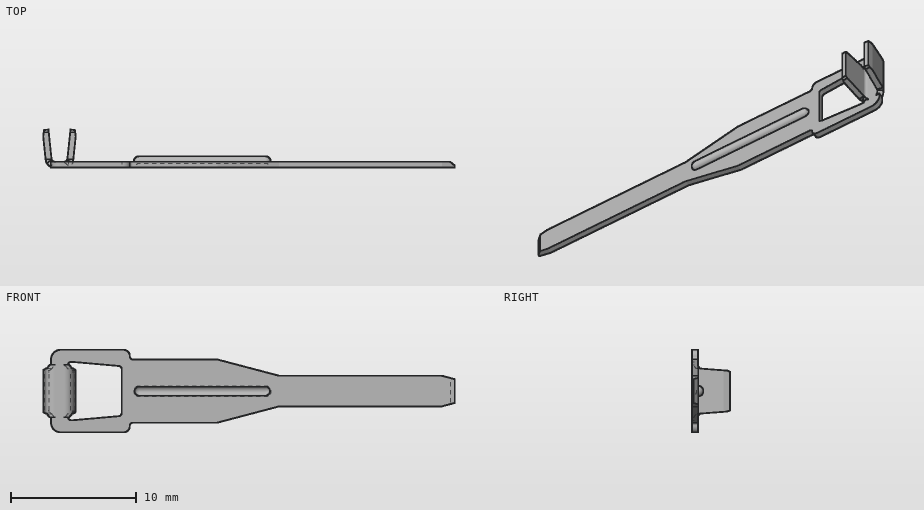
import cadquery as cq
import math

length = 32.77
total_depth = 3.05
thickness = 0.5

head_start = 0.62
head_end = 6.9
head_half = 3.295
head_start_radius = 0.8
head_end_radius = 0.52
neck_radius = 0.23
body_half = 2.52
taper_start = 13.85
taper_end = 18.78
arm_half = 1.23
tip_start = 31.72
tip_half = 0.95
tip_chamfer_length = 0.4
tip_chamfer_depth = 0.33

bend_outer = 0.72
bend_inner = bend_outer - thickness
lean = 6.0
tab_root_half = 1.8
tab_end_half = 1.65
tab_chamfer_length = 0.5
tab_chamfer_depth = 0.13
tab_corner_length = 0.23
tab_corner_width = 0.1
crossbar_width = 0.8

flare_half = 2.1
flare_angle = 50.0
flare_start = -0.23
flare_end = 0.1

window_end = 6.25
window_start_half = 2.343
window_end_half = 1.95
window_radius = 0.25

bead_start = 7.65
bead_end = 17.7
groove_radius = 0.35
ridge_radius = 0.43

lean_sin = math.sin(math.radians(lean))
lean_cos = math.cos(math.radians(lean))
bend_top = bend_outer * (1 - lean_sin)
tab_straight = (total_depth - bend_top - thickness * lean_sin) / lean_cos

bend_line = bend_outer * lean_cos + (tab_straight - tab_chamfer_length) * lean_sin
crossbar_center = bend_line + crossbar_width / 2
window_start = 2 * crossbar_center - head_start


def bend_point(radius, angle):
    """Point on the bend, with the angle in degrees from the bend line."""
    turn = math.radians(angle)
    return (bend_line - radius * math.sin(turn), bend_outer - radius * math.cos(turn))


def tab_point(along, inward):
    """Point on the straight part of the tab, from the end of the outer bend arc."""
    x, y = bend_point(bend_outer, 90 - lean)
    return (x - along * lean_sin + inward * lean_cos, y + along * lean_cos + inward * lean_sin)


def symmetric_prism(plane, points, half_depth):
    """Prism of a half outline mirrored about the first axis of its plane."""
    mirrored = [(a, -b) for a, b in reversed(points)]
    return cq.Workplane(plane).polyline(points + mirrored).close().extrude(half_depth, both=True)


def plate(points):
    """Sheet of a half outline in X and Z, mirrored about Z = 0."""
    mirrored = [(x, -z) for x, z in reversed(points)]
    return cq.Workplane("XZ").polyline(points + mirrored).close().extrude(-thickness)


def fillet_at(body, x, z, radius):
    """Round the upright edges at (x, z) and (x, -z)."""
    margin = 0.015
    for side in (z, -z):
        low = (x - margin, -margin, side - margin)
        high = (x + margin, thickness + margin, side + margin)
        body = body.edges(cq.selectors.BoxSelector(low, high, boundingbox=True)).fillet(radius)
    return body


def make_strip():
    strip = plate([
        (head_start, head_half),
        (head_end, head_half),
        (head_end, body_half),
        (taper_start, body_half),
        (taper_end, arm_half),
        (tip_start, arm_half),
        (length, tip_half),
    ])
    strip = fillet_at(strip, head_start, head_half, head_start_radius)
    strip = fillet_at(strip, head_end, head_half, head_end_radius)
    strip = fillet_at(strip, head_end, body_half, neck_radius)
    return strip.faces(">X").edges(">Y").chamfer(tip_chamfer_depth, tip_chamfer_length)


def make_window():
    window = plate([
        (window_start, window_start_half),
        (window_end, window_end_half),
    ])
    return window.edges("|Y").fillet(window_radius)


def make_crossbar_reliefs():
    """Openings beside the crossbar that the bends fill."""
    first = cq.Workplane("XY").box(
        bend_line, thickness, 2 * flare_half, centered=(False, False, True)
    )
    return first.union(mirror_to_window(first))


def mirror_to_window(body):
    return body.mirror("YZ", (crossbar_center, 0, 0))


def make_bend():
    """Bend of slightly under a quarter turn, wide at the bend line and flared in to the tab width."""
    end_angle = 90 - lean
    bend = (
        cq.Workplane("XY")
        .moveTo(*bend_point(bend_outer, 0))
        .threePointArc(bend_point(bend_outer, end_angle / 2), bend_point(bend_outer, end_angle))
        .lineTo(*bend_point(bend_inner, end_angle))
        .threePointArc(bend_point(bend_inner, end_angle / 2), bend_point(bend_inner, 0))
        .close()
        .extrude(flare_half, both=True)
    )
    turn = math.radians(flare_angle)
    flare_plane = cq.Plane(
        origin=(bend_line, bend_outer, 0),
        xDir=(-math.cos(turn), math.sin(turn), 0),
        normal=(-math.sin(turn), -math.cos(turn), 0),
    )
    flare = symmetric_prism(flare_plane, [
        (-bend_outer, flare_half),
        (flare_start, flare_half),
        (flare_end, tab_root_half),
        (bend_outer, tab_root_half),
    ], bend_outer)
    return bend.intersect(flare)


def make_tab():
    """Leaning flat tab, narrowed toward its chamfered end."""
    chamfer_start = tab_straight - tab_chamfer_length
    blade = (
        cq.Workplane("XY")
        .polyline([
            tab_point(0, 0),
            tab_point(chamfer_start, 0),
            tab_point(tab_straight, tab_chamfer_depth),
            tab_point(tab_straight, thickness),
            tab_point(0, thickness),
        ])
        .close()
        .extrude(tab_root_half, both=True)
    )
    sides = symmetric_prism("YZ", [
        (0, tab_root_half),
        (bend_top, tab_root_half),
        (total_depth - tab_corner_length, tab_end_half),
        (total_depth, tab_end_half - tab_corner_width),
    ], length)
    return blade.intersect(sides)


def make_capsule(radius, y):
    """Round bar along X with spherical ends, centred at depth y."""
    bar = cq.Workplane("YZ", origin=(bead_start, y, 0)).circle(radius).extrude(bead_end - bead_start)
    for x in (bead_start, bead_end):
        bar = bar.union(cq.Workplane("XY", origin=(x, y, 0)).sphere(radius))
    return bar


bent_tab = make_bend().union(make_tab())

result = (
    make_strip()
    .cut(make_window())
    .cut(make_crossbar_reliefs())
    .union(bent_tab)
    .union(mirror_to_window(bent_tab))
    .union(make_capsule(ridge_radius, thickness))
    .cut(make_capsule(groove_radius, 0))
)